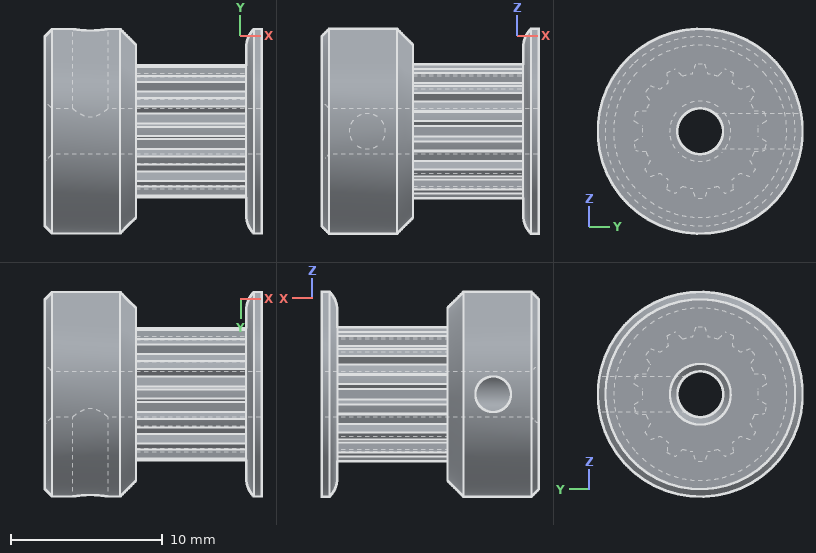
import cadquery as cq
import math

hub_length = 6.02
flange_start = 13.25
total_length = 14.3

outer_radius = 6.75
hub_front_chamfer = 0.5
hub_back_chamfer = 1.06
flange_rim_width = 0.51
flange_face_radius = 5.52

bore_radius = 1.5
bore_chamfer = 0.5
screw_hole_radius = 1.17
screw_hole_x = hub_length / 2

tooth_count = 14
tooth_tip_radius = 4.42
groove_floor_distance = 3.8
groove_floor_half_width = 0.336
groove_mouth_half_width = 0.69
tooth_pitch_angle = 360 / tooth_count
first_groove_angle = 180


def x_cylinder(radius, start, end):
    """Cylinder on the X axis between two axial stations."""
    return cq.Workplane("YZ").workplane(offset=start).circle(radius).extrude(end - start)


def make_hub():
    """Cylinder chamfered at both ends."""
    hub = x_cylinder(outer_radius, 0, hub_length)
    hub = hub.faces("<X").chamfer(hub_front_chamfer)
    return hub.faces(">X").chamfer(hub_back_chamfer)


def make_toothed_section():
    """Cylinder with straight trapezoidal grooves spaced evenly around it."""
    section = x_cylinder(tooth_tip_radius, hub_length, flange_start)
    mouth_distance = math.sqrt(tooth_tip_radius**2 - groove_mouth_half_width**2)
    cut_distance = tooth_tip_radius + 0.15
    wall_slope = (groove_mouth_half_width - groove_floor_half_width) / (mouth_distance - groove_floor_distance)
    cut_half_width = groove_mouth_half_width + wall_slope * (cut_distance - mouth_distance)
    groove = (
        cq.Workplane("YZ")
        .workplane(offset=hub_length)
        .polyline([
            (groove_floor_distance, -groove_floor_half_width),
            (cut_distance, -cut_half_width),
            (cut_distance, cut_half_width),
            (groove_floor_distance, groove_floor_half_width),
        ])
        .close()
        .extrude(flange_start - hub_length)
    )
    for index in range(tooth_count):
        angle = first_groove_angle + index * tooth_pitch_angle
        section = section.cut(groove.rotate((0, 0, 0), (1, 0, 0), angle))
    return section


def make_pulley():
    """Hub and toothed section in one piece, with chamfered bore and set screw hole."""
    pulley = make_hub().union(make_toothed_section())
    pulley = pulley.cut(x_cylinder(bore_radius, 0, flange_start))
    bore_countersink = cq.Solid.makeCone(
        bore_radius + bore_chamfer, bore_radius, bore_chamfer, cq.Vector(0, 0, 0), cq.Vector(1, 0, 0)
    )
    screw_hole = cq.Solid.makeCylinder(
        screw_hole_radius, outer_radius, cq.Vector(screw_hole_x, 0, 0), cq.Vector(0, 1, 0)
    )
    return pulley.cut(cq.Workplane(bore_countersink)).cut(cq.Workplane(screw_hole))


def make_flange():
    """End disc whose tooth-side face curves back to a narrow rim."""
    rim_start = total_length - flange_rim_width
    curve_depth = rim_start - flange_start
    curve_height = outer_radius - flange_face_radius
    curve_radius = (curve_depth**2 + curve_height**2) / (2 * curve_depth)
    half_angle = math.asin(curve_height / curve_radius) / 2
    curve_middle = (
        flange_start + curve_radius * (1 - math.cos(half_angle)),
        flange_face_radius + curve_radius * math.sin(half_angle),
    )
    return (
        cq.Workplane("XY")
        .moveTo(flange_start, bore_radius)
        .lineTo(flange_start, flange_face_radius)
        .threePointArc(curve_middle, (rim_start, outer_radius))
        .lineTo(total_length, outer_radius)
        .lineTo(total_length, bore_radius)
        .close()
        .revolve(360, (0, 0, 0), (1, 0, 0))
    )


pulley = make_pulley()
flange = make_flange()
result = cq.Compound.makeCompound([pulley.val(), flange.val()])